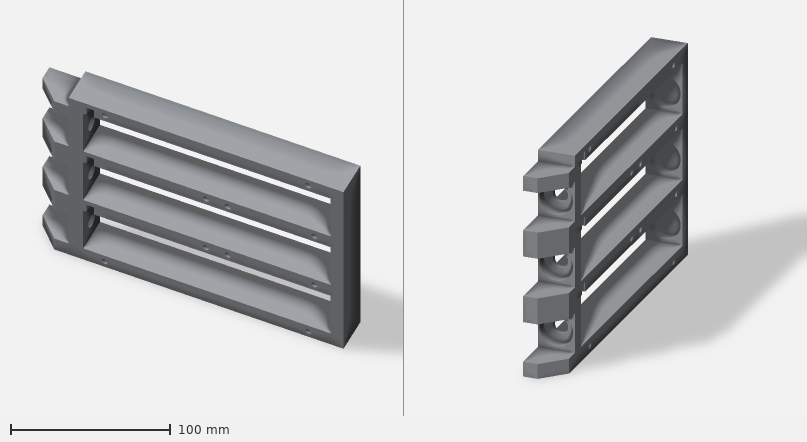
import cadquery as cq

length = 215.0
depth = 25.0
bay_count = 3
bay_pitch = 45.0
bar_height = 10.0
height = bay_count * bay_pitch + bar_height

prong_length = 25.0
post_width = 10.0
end_wall = 9.0
post_inner_x = prong_length + post_width
end_wall_x = length - end_wall
opening_length = end_wall_x - post_inner_x
opening_height = bay_pitch - bar_height

prong_gap = 27.0
prong_chamfer = 15.0
top_step = opening_height - prong_gap

notch_offset = 2.2
notch_width = 5.2
notch_height = 6.5

screw_diameter = 4.0
outer_bar_screws = (50.0, 190.7)
inner_bar_screws = (120.0, 135.0, 195.0)

seat_diameter = 22.4
shaft_diameter = 10.0
seat_depth = 7.0


def block(x, z, size_x, size_z):
    """Full-depth block with its lower left front corner at (x, 0, z)."""
    return cq.Workplane("XY").box(size_x, depth, size_z, centered=False).translate((x, 0, z))


def bore(x, z, diameter, bore_depth):
    """Cylinder along +X that starts at x, centred in the depth."""
    circle = cq.Workplane("YZ", origin=(x, depth / 2, z)).circle(diameter / 2)
    return circle.extrude(bore_depth)


def screw_hole(x, z):
    """Full-depth cylinder along +Y for one screw."""
    circle = cq.Workplane("XZ", origin=(x, 0, z)).circle(screw_diameter / 2)
    return circle.extrude(-depth)


def chamfered_plate():
    """Solid plate with the front left corner bevelled at 45 degrees."""
    outline = [
        (prong_chamfer, 0),
        (length, 0),
        (length, depth),
        (0, depth),
        (0, prong_chamfer),
    ]
    return cq.Workplane("XY").polyline(outline).close().extrude(height)


def cut_bay(body, bar_top):
    """Cut the opening, notch, prong gap and bearing seats above one bar."""
    opening_top = bar_top + opening_height
    axis_z = bar_top + prong_gap / 2
    body = body.cut(block(post_inner_x, bar_top, opening_length, opening_height))
    body = body.cut(block(post_inner_x + notch_offset, opening_top, notch_width, notch_height))
    body = body.cut(block(0, bar_top, prong_length, prong_gap))
    body = body.cut(bore(prong_length, axis_z, seat_diameter, seat_depth))
    body = body.cut(bore(prong_length, axis_z, shaft_diameter, post_width))
    return body.cut(bore(end_wall_x, axis_z, seat_diameter, seat_depth))


def cut_screws(body, bar_index):
    """Drill the screw holes of one bar through the depth."""
    is_outer = bar_index in (0, bay_count)
    screw_places = outer_bar_screws if is_outer else inner_bar_screws
    z = bar_index * bay_pitch + bar_height / 2
    for x in screw_places:
        body = body.cut(screw_hole(x, z))
    return body


frame = chamfered_plate()

for bay_index in range(bay_count):
    frame = cut_bay(frame, bay_index * bay_pitch + bar_height)

for bar_index in range(bay_count + 1):
    frame = cut_screws(frame, bar_index)

result = frame.cut(block(0, height - top_step, prong_length, top_step))